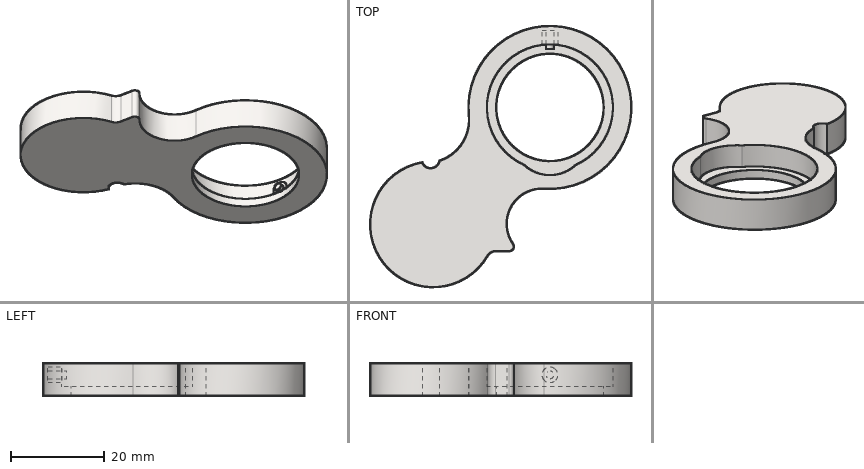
import cadquery as cq
import math

thickness = 7.0
pad_radius = 13.5
ring_radius = 17.5
span = 56.0
ring_offset = span - pad_radius - ring_radius
pad_center = cq.Vector(0, 0)
ring_center = cq.Vector(ring_offset, ring_offset)

bore_radius = 11.5
pocket_radius = pad_radius
floor_thickness = 2.0
lobe_radius = 8.0
lobe_depth = 1.0

neck_radius = 9.2
neck_overlap = 0.3
scoop_radius = 7.5
scoop_x = 23.3
tooth_y = -5.75
tooth_tip_radius = 1.0
tooth_root_radius = 2.0

notch_radius = 1.9
notch_center = (-0.5, 13.95)

plug_radius = 1.7
plug_length = 3.0
pin_radius = 0.85
pin_protrusion = 1.0
plunger_z = (floor_thickness + thickness) / 2
plug_face_y = ring_offset + pocket_radius


def toward(center, target, radius):
    """Point on a circle in the direction of the target."""
    return center + (target - center).normalized() * radius


def short_arc_middle(center, radius, start, end):
    return toward(center, (start + end) * 0.5, radius)


def neck_center():
    """Centre of the neck blend, on the upper left side of the pad-to-ring line."""
    center_distance = ring_center.Length
    to_pad = pad_radius + neck_radius - neck_overlap
    to_ring = ring_radius + neck_radius
    along = (to_pad**2 - to_ring**2 + center_distance**2) / (2 * center_distance)
    across = math.sqrt(to_pad**2 - along**2)
    diagonal = ring_center.normalized()
    return diagonal * along + cq.Vector(-diagonal.y, diagonal.x) * across


def make_outline():
    neck = neck_center()
    scoop_drop = math.sqrt((ring_radius + scoop_radius)**2 - (scoop_x - ring_offset)**2)
    scoop = cq.Vector(scoop_x, ring_offset - scoop_drop)
    tip_y = tooth_y + tooth_tip_radius
    tip_reach = math.sqrt((scoop_radius + tooth_tip_radius)**2 - (scoop.y - tip_y)**2)
    tip = cq.Vector(scoop_x - tip_reach, tip_y)
    root_y = tooth_y - tooth_root_radius
    root = cq.Vector(math.sqrt((pad_radius + tooth_root_radius)**2 - root_y**2), root_y)

    neck_on_ring = toward(ring_center, neck, ring_radius)
    scoop_on_ring = toward(ring_center, scoop, ring_radius)
    scoop_on_tip = toward(scoop, tip, scoop_radius)
    tip_end = cq.Vector(tip.x, tooth_y)
    root_start = cq.Vector(root.x, tooth_y)
    root_on_pad = toward(pad_center, root, pad_radius)
    neck_on_pad = toward(pad_center, neck, pad_radius)
    neck_low_point = toward(neck, pad_center, neck_radius)

    ring_far_point = ring_center + ring_center.normalized() * ring_radius
    pad_far_point = pad_center - ring_center.normalized() * pad_radius
    return (
        cq.Workplane("XY")
        .moveTo(neck_on_ring.x, neck_on_ring.y)
        .threePointArc(ring_far_point, scoop_on_ring)
        .threePointArc(short_arc_middle(scoop, scoop_radius, scoop_on_ring, scoop_on_tip), scoop_on_tip)
        .threePointArc(short_arc_middle(tip, tooth_tip_radius, scoop_on_tip, tip_end), tip_end)
        .lineTo(root_start.x, root_start.y)
        .threePointArc(short_arc_middle(root, tooth_root_radius, root_start, root_on_pad), root_on_pad)
        .threePointArc(pad_far_point, neck_on_pad)
        .lineTo(neck_low_point.x, neck_low_point.y)
        .threePointArc(short_arc_middle(neck, neck_radius, neck_low_point, neck_on_ring), neck_on_ring)
        .close()
    )


def vertical_cylinder(x, y, radius, bottom=0.0):
    """Cylinder from the given height up to the top face of the housing."""
    return cq.Workplane("XY", origin=(x, y, bottom)).circle(radius).extrude(thickness - bottom)


def plunger_cylinder(radius, front_y):
    """Cylinder along Y from front_y to the back of the plug."""
    length = plug_face_y + plug_length - front_y
    plane = cq.Plane(origin=(ring_offset, front_y, plunger_z), xDir=(0, 0, 1), normal=(0, 1, 0))
    return cq.Workplane(plane).circle(radius).extrude(length)


def make_housing():
    lobe_y = ring_offset - pocket_radius - lobe_depth + lobe_radius
    body = make_outline().extrude(thickness)
    body = body.cut(vertical_cylinder(*notch_center, notch_radius))
    body = body.cut(vertical_cylinder(ring_offset, ring_offset, bore_radius))
    body = body.cut(vertical_cylinder(ring_offset, ring_offset, pocket_radius, floor_thickness))
    body = body.cut(vertical_cylinder(ring_offset, lobe_y, lobe_radius, floor_thickness))
    return body.cut(plunger_cylinder(plug_radius, plug_face_y - pin_protrusion))


def make_plug():
    plug = plunger_cylinder(plug_radius, plug_face_y)
    return plug.cut(plunger_cylinder(pin_radius, plug_face_y))


def make_pin():
    return plunger_cylinder(pin_radius, plug_face_y - pin_protrusion)


housing = make_housing()
plug = make_plug()
pin = make_pin()
result = cq.Compound.makeCompound([housing.solids().val(), plug.solids().val(), pin.val()])